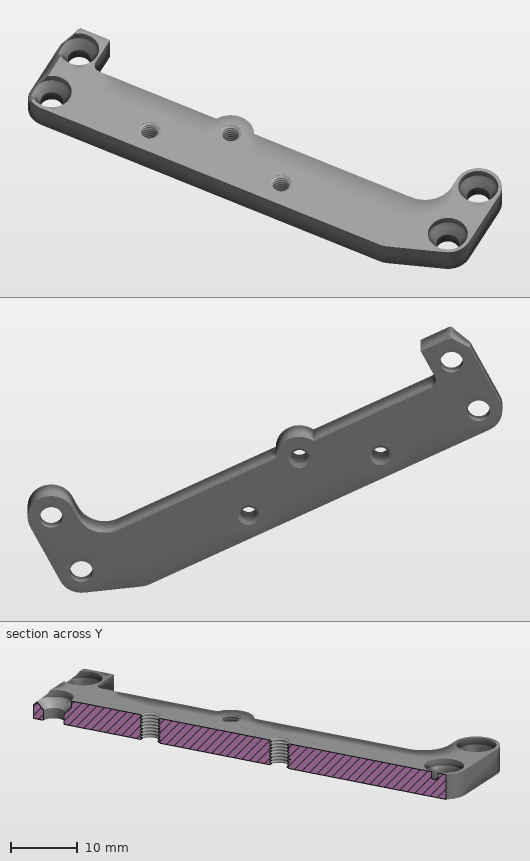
import cadquery as cq
import math

length = 72
depth_overall = 20.0
thickness = 4.0
bar_width = 10.15
end_radius = 3.5

left_arm_width = 6.85
left_arm_top = 16.2
left_arm_fillet = 1.3
cut_corner_width = 1.9
cut_corner_height = 2.8

neck_radius = 4.5
taper_angle = math.radians(20)

relief_depth = 1.9
relief_step = 0.4
relief_slope_width = relief_depth - relief_step
relief_width = 1.65

clearance_diameter = 3.4
head_diameter = 6.0
head_recess = 1.1
cone_depth = (head_diameter - clearance_diameter) / 2
left_hole_spacing = 9.0
right_hole_spacing = 10.0
right_hole_x = length - end_radius
right_upper_y = depth_overall - end_radius
right_lower_y = right_upper_y - right_hole_spacing
countersunk_centers = [
    (end_radius, end_radius),
    (end_radius, end_radius + left_hole_spacing),
    (right_hole_x, right_lower_y),
    (right_hole_x, right_upper_y),
]

thread_minor_diameter = 2.5
thread_major_diameter = 3.25
thread_turns = 8
thread_pitch = thickness / thread_turns
ridge_crest = thread_pitch / 4
ridge_base = thread_pitch * 3 / 4
middle_hole_x = 30.95
outer_hole_offset = 11.0
middle_hole_rise = 5.05
middle_hole_y = end_radius + middle_hole_rise
threaded_centers = [
    (middle_hole_x - outer_hole_offset, end_radius),
    (middle_hole_x, middle_hole_y),
    (middle_hole_x + outer_hole_offset, end_radius),
]


def on_circle(center, radius, angle):
    """Point on a circle at an angle in radians."""
    return (center[0] + radius * math.cos(angle), center[1] + radius * math.sin(angle))


def round_corner(body, x, y, radius):
    """Fillet the upright edge of the plate at the given place."""
    corner = cq.selectors.NearestToPointSelector((x, y, thickness / 2))
    return body.edges("|Z").edges(corner).fillet(radius)


def make_plate():
    """Flat bar with a short arm at each end and a rounded lobe around the middle threaded hole."""
    lower_center = (right_hole_x, right_lower_y)
    tangent_angle = taper_angle - math.pi / 2
    taper_end = on_circle(lower_center, end_radius, tangent_angle)
    lower_arc_middle = on_circle(lower_center, end_radius, tangent_angle / 2)
    taper_start_x = taper_end[0] - taper_end[1] / math.tan(taper_angle)
    neck_x = length - 2 * end_radius
    outline = (
        cq.Workplane("XY")
        .moveTo(0, 0)
        .lineTo(taper_start_x, 0)
        .lineTo(*taper_end)
        .threePointArc(lower_arc_middle, (length, right_lower_y))
        .lineTo(length, right_upper_y)
        .threePointArc((right_hole_x, depth_overall), (neck_x, right_upper_y))
        .lineTo(neck_x, bar_width)
        .lineTo(left_arm_width, bar_width)
        .lineTo(left_arm_width, left_arm_top)
        .lineTo(cut_corner_width, left_arm_top)
        .lineTo(0, left_arm_top - cut_corner_height)
        .close()
    )
    plate = outline.extrude(thickness)

    plate = round_corner(plate, 0, 0, end_radius)
    plate = round_corner(plate, taper_start_x, 0, end_radius)
    plate = round_corner(plate, neck_x, bar_width, neck_radius)
    plate = round_corner(plate, left_arm_width, bar_width, left_arm_fillet)
    lobe = cq.Workplane("XY").center(middle_hole_x, middle_hole_y).circle(end_radius).extrude(thickness)
    return plate.union(lobe)


def make_relief():
    """Cutter that slopes the left end at 45 degrees and meets the top in a short, steeper face."""
    return (
        cq.Workplane("XZ")
        .moveTo(0, thickness)
        .lineTo(0, thickness - relief_depth)
        .lineTo(relief_slope_width, thickness - relief_step)
        .lineTo(relief_width, thickness)
        .close()
        .extrude(-depth_overall)
    )


def make_countersunk_hole(center):
    """Through hole with a 90 degree cone below a straight head recess."""
    clearance_radius = clearance_diameter / 2
    head_radius = head_diameter / 2
    recess_floor = thickness - head_recess
    profile = (
        cq.Workplane("XZ")
        .lineTo(clearance_radius, 0)
        .lineTo(clearance_radius, recess_floor - cone_depth)
        .lineTo(head_radius, recess_floor)
        .lineTo(head_radius, thickness)
        .lineTo(0, thickness)
        .close()
    )
    return profile.revolve(360, (0, 0, 0), (0, 1, 0)).translate((*center, 0))


def make_threaded_hole(center):
    """Through hole with evenly stacked ridges, widest at both faces of the plate."""
    minor_radius = thread_minor_diameter / 2
    major_radius = thread_major_diameter / 2
    profile = cq.Workplane("XZ").lineTo(major_radius, 0)
    for turn in range(thread_turns):
        ridge_height = (turn + 0.5) * thread_pitch
        profile = (
            profile
            .lineTo(major_radius, ridge_height - ridge_base / 2)
            .lineTo(minor_radius, ridge_height - ridge_crest / 2)
            .lineTo(minor_radius, ridge_height + ridge_crest / 2)
            .lineTo(major_radius, ridge_height + ridge_base / 2)
        )
    profile = profile.lineTo(major_radius, thickness).lineTo(0, thickness).close()
    return profile.revolve(360, (0, 0, 0), (0, 1, 0)).translate((*center, 0))


result = make_plate().cut(make_relief())
for hole_center in countersunk_centers:
    result = result.cut(make_countersunk_hole(hole_center))
for hole_center in threaded_centers:
    result = result.cut(make_threaded_hole(hole_center))